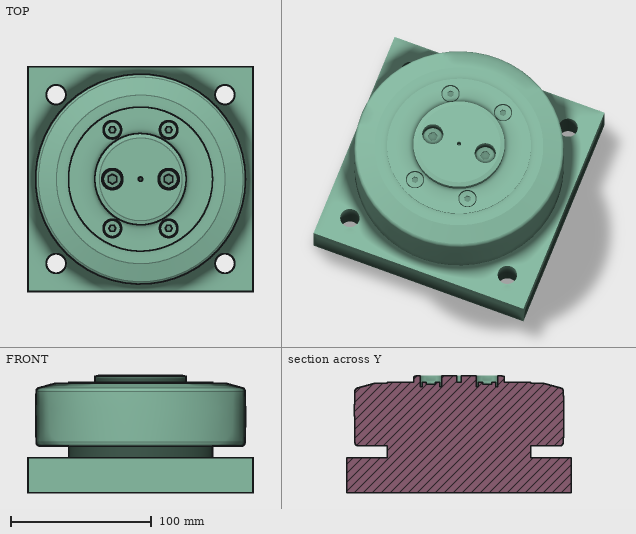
import cadquery as cq
import math

base_side = 160.0
base_height = 25.0
mount_spacing = 120.0
mount_diameter = 13.8

neck_diameter = 102.5
roller_radius = 74.7
roller_edge_radius = 74.4
roller_bottom = 33.1
roller_flank_top = 72.2
roller_crown = 78.0
crown_radius = 60.0
shoulder_radius = 72.8
shoulder_height = 74.5
roller_bottom_round = 3.0

cover_top = 78.7
pad_diameter = 65.0
pad_top = 83.5
pad_bevel_width = 3.0
pad_bevel_height = 0.8
centre_hole_diameter = 3.0
centre_hole_depth = 4.8

screw_offset_x = 20.0
screw_offset_y = 35.0
screw_seat_diameter = 13.1
screw_head_diameter = 11.7
screw_recess = 0.5
screw_socket_corners = 5.0
screw_head_height = 2.4
screw_socket_depth = 1.3

cap_offset = screw_offset_x
cap_bore_diameter = 15.0
cap_bore_depth = 8.0
cap_head_diameter = 12.8
cap_head_height = 3.2
cap_socket_corners = 7.0
cap_socket_depth = 1.3
socket_turn = 30

overlap = 1.6


def cylinder(diameter, bottom, top, x=0, y=0):
    """Upright cylinder between two heights."""
    return cq.Workplane("XY", origin=(x, y, bottom)).circle(diameter / 2).extrude(top - bottom)


def hex_socket(corners, depth, top, x, y, turn=0):
    """Hexagonal prism used to cut a screw socket."""
    prism = cq.Workplane("XY").polygon(6, corners).extrude(depth)
    return prism.rotate((0, 0, 0), (0, 0, 1), turn).translate((x, y, top - depth))


def make_base():
    """Square plate with four through holes."""
    return (
        cq.Workplane("XY")
        .rect(base_side, base_side)
        .extrude(base_height)
        .faces(">Z")
        .workplane()
        .rect(mount_spacing, mount_spacing, forConstruction=True)
        .vertices()
        .hole(mount_diameter)
    )


def make_roller():
    """Revolved roller with a slightly bulging flank, rounded edges and a sloping crown."""
    round_start = roller_edge_radius - roller_bottom_round
    flank_bottom = roller_bottom + roller_bottom_round
    flank_middle = (flank_bottom + roller_flank_top) / 2
    diagonal = roller_bottom_round * math.sqrt(0.5)
    round_middle = (round_start + diagonal, flank_bottom - diagonal)
    return (
        cq.Workplane("XZ")
        .moveTo(0, roller_bottom)
        .lineTo(round_start, roller_bottom)
        .threePointArc(round_middle, (roller_edge_radius, flank_bottom))
        .threePointArc((roller_radius, flank_middle), (roller_edge_radius, roller_flank_top))
        .tangentArcPoint((shoulder_radius, shoulder_height), relative=False)
        .lineTo(crown_radius, roller_crown)
        .lineTo(0, roller_crown)
        .close()
        .revolve(360, (0, 0, 0), (0, 1, 0))
    )


def make_cover_and_pad():
    """Round cover plate carrying the bevelled centre pad."""
    cover = cylinder(neck_diameter, roller_bottom, cover_top)
    pad = cylinder(pad_diameter, roller_bottom, pad_top)
    pad = pad.faces(">Z").edges().chamfer(pad_bevel_height, pad_bevel_width)
    return cover.union(pad)


def add_screw(body, x, y, surface, bore, bore_depth, head, head_height, corners, socket_depth, turn=0):
    """Sink a screw head with a hexagonal socket into a round seat."""
    floor = surface - bore_depth
    head_top = floor + head_height
    body = body.cut(cylinder(bore, floor, surface + overlap, x, y))
    body = body.union(cylinder(head, floor - overlap, head_top, x, y))
    return body.cut(hex_socket(corners, socket_depth, head_top, x, y, turn))


result = make_base().union(cylinder(neck_diameter, base_height, roller_bottom))
result = result.union(make_roller()).union(make_cover_and_pad())
result = result.cut(cylinder(centre_hole_diameter, pad_top - centre_hole_depth, pad_top))

for side_x, side_y in ((-1, -1), (-1, 1), (1, -1), (1, 1)):
    result = add_screw(
        result,
        side_x * screw_offset_x,
        side_y * screw_offset_y,
        cover_top,
        screw_seat_diameter,
        screw_recess + screw_head_height,
        screw_head_diameter,
        screw_head_height,
        screw_socket_corners,
        screw_socket_depth,
    )

for side in (-1, 1):
    result = add_screw(
        result,
        side * cap_offset,
        0,
        pad_top,
        cap_bore_diameter,
        cap_bore_depth,
        cap_head_diameter,
        cap_head_height,
        cap_socket_corners,
        cap_socket_depth,
        turn=socket_turn,
    )